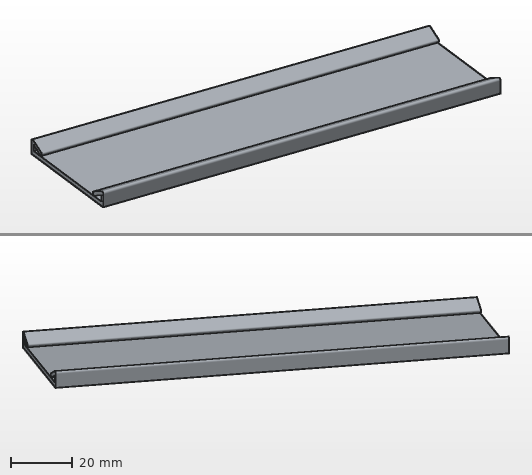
import cadquery as cq
import math

length = 152.4
width = 44.7
height = 5.6

floor_thickness = 1.7
wall_thickness = 1.4
lip_thickness = 1.4
lip_reach = 6.7
lip_angle = math.radians(25)
base_radius = 0.3
tip_radius = 0.5
corner_radius = 0.8

half_width = width / 2
lip_slope = math.tan(lip_angle)

arc_center_x = half_width - corner_radius
arc_center_z = height - corner_radius
arc_end_x = arc_center_x - corner_radius * math.sin(lip_angle)
arc_end_z = arc_center_z + corner_radius * math.cos(lip_angle)
arc_middle_angle = (math.pi / 2 + lip_angle) / 2
arc_middle_x = arc_center_x + corner_radius * math.cos(arc_middle_angle)
arc_middle_z = arc_center_z + corner_radius * math.sin(arc_middle_angle)

tip_top_x = half_width - lip_reach
tip_top_z = arc_end_z - (arc_end_x - tip_top_x) * lip_slope
tip_bottom_x = tip_top_x + lip_thickness * math.sin(lip_angle)
tip_bottom_z = tip_top_z - lip_thickness * math.cos(lip_angle)

inner_wall_x = half_width - wall_thickness
inner_corner_z = tip_bottom_z + (inner_wall_x - tip_bottom_x) * lip_slope

right_half = (
    cq.Workplane("XZ")
    .moveTo(0, 0)
    .lineTo(half_width, 0)
    .lineTo(half_width, arc_center_z)
    .threePointArc((arc_middle_x, arc_middle_z), (arc_end_x, arc_end_z))
    .lineTo(tip_top_x, tip_top_z)
    .lineTo(tip_bottom_x, tip_bottom_z)
    .lineTo(inner_wall_x, inner_corner_z)
    .lineTo(inner_wall_x, floor_thickness)
    .lineTo(0, floor_thickness)
    .close()
    .extrude(length)
)


def round_long_edge(body, x, z, radius):
    """Fillet the lengthwise edge that passes through (x, z)."""
    edge = body.edges(cq.selectors.NearestToPointSelector((x, -length / 2, z)))
    return edge.fillet(radius)


right_half = round_long_edge(right_half, half_width, 0, base_radius)
right_half = round_long_edge(right_half, tip_top_x, tip_top_z, tip_radius)
right_half = round_long_edge(right_half, tip_bottom_x, tip_bottom_z, tip_radius)

result = right_half.union(right_half.mirror("YZ")).clean()